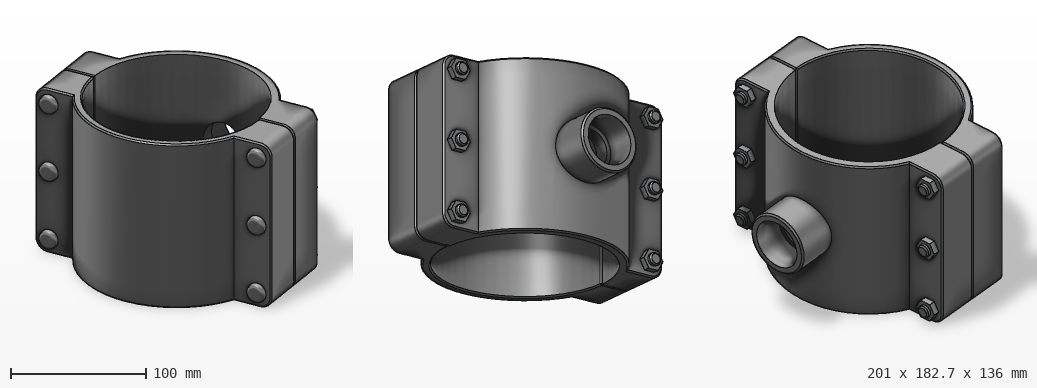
import cadquery as cq


width = 201.0
height = 136.0
outer_radius = 77.0
bore_radius = 70.0
flange_depth = 35.0
corner_radius = 10.0
bevel = 1.2

socket_end = 105.7
socket_diameter = 50.7
socket_bore_diameter = 39.0
socket_bore_depth = 25.1
port_diameter = 32.0
socket_bevel = 1.5

bolt_spacing_x = 176.9
bolt_pitch_z = 56.0
head_diameter = 15.0
head_height = 4.5
head_fillet = 3.0
nut_across_flats = 15.0
nut_height = 5.2
stud_diameter = 10.0
stud_length = 8.5
stud_bevel = 1.2

tolerance = 0.002


def cylinder_along_y(diameter, start, end):
    """Cylinder on the Y axis, running from Y = start to Y = end."""
    return cq.Workplane("XZ", origin=(0, start, 0)).circle(diameter / 2).extrude(start - end)


def bevelled_edges(half, side, bevel_bore_ends):
    """Edges of the parting face, the flange face and both ends of one half."""
    flange_face = side * flange_depth
    chosen = []
    for edge in half.edges().vals():
        box = edge.BoundingBox()
        on_parting_face = max(abs(box.ymin), abs(box.ymax)) < tolerance
        on_flange_face = max(abs(box.ymin - flange_face), abs(box.ymax - flange_face)) < tolerance
        on_end = box.zlen < tolerance and abs(abs(box.zmin) - height / 2) < tolerance
        is_arc = edge.geomType() == "CIRCLE"
        is_bore_end = on_end and is_arc and abs(edge.radius() - bore_radius) < tolerance
        is_flange_root = on_flange_face and box.xlen < tolerance and abs(box.xmin) < outer_radius
        is_corner_seam = on_end and box.xlen < tolerance
        if is_flange_root or is_corner_seam or (is_bore_end and not bevel_bore_ends):
            continue
        if on_parting_face or on_flange_face or on_end:
            chosen.append(edge)
    return chosen


def clamp_half(side, bevel_bore_ends):
    """Half ring with a flange at each end; side is +1 for rear and -1 for front."""
    flanges = (
        cq.Workplane("XY")
        .box(width, 2 * flange_depth, height)
        .edges("|Y")
        .fillet(corner_radius)
    )
    body = cq.Workplane("XY").circle(outer_radius).extrude(height / 2, both=True).union(flanges)
    body = body.cut(cq.Workplane("XY").circle(bore_radius).extrude(height / 2, both=True))
    keep = cq.Workplane("XY").box(width, width, height).translate((0, side * width / 2, 0))
    half = body.intersect(keep)
    return half.newObject(bevelled_edges(half, side, bevel_bore_ends)).chamfer(bevel)


def add_socket(half):
    """Add the pipe socket, its counterbore and the port into the clamp bore."""
    wall_middle_radius = (bore_radius + outer_radius) / 2
    socket = cylinder_along_y(socket_diameter, 0, socket_end).faces(">Y").edges().chamfer(socket_bevel)
    socket = socket.cut(cq.Workplane("XY").circle(wall_middle_radius).extrude(height / 2, both=True))
    port = cylinder_along_y(port_diameter, 0, socket_end)
    counterbore = cylinder_along_y(socket_bore_diameter, socket_end - socket_bore_depth, socket_end)
    return half.union(socket).cut(port).cut(counterbore)


def bolt():
    """Rounded head on the front flange, hexagonal nut and stud end on the rear flange."""
    head = (
        cylinder_along_y(head_diameter, -flange_depth - head_height, 0)
        .faces("<Y")
        .edges()
        .fillet(head_fillet)
    )
    stud = (
        cylinder_along_y(stud_diameter, 0, flange_depth + stud_length)
        .faces(">Y")
        .edges()
        .chamfer(stud_bevel)
    )
    nut = (
        cq.Workplane("XZ")
        .transformed(rotate=(0, 0, 90))
        .polygon(6, nut_across_flats, circumscribed=True)
        .extrude(-flange_depth - nut_height)
    )
    return head.union(nut).union(stud)


front_half = clamp_half(side=-1, bevel_bore_ends=True)
rear_half = add_socket(clamp_half(side=1, bevel_bore_ends=False))

result = front_half.union(rear_half)
for x in (-bolt_spacing_x / 2, bolt_spacing_x / 2):
    for row in (-1, 0, 1):
        result = result.union(bolt().translate((x, 0, row * bolt_pitch_z)))